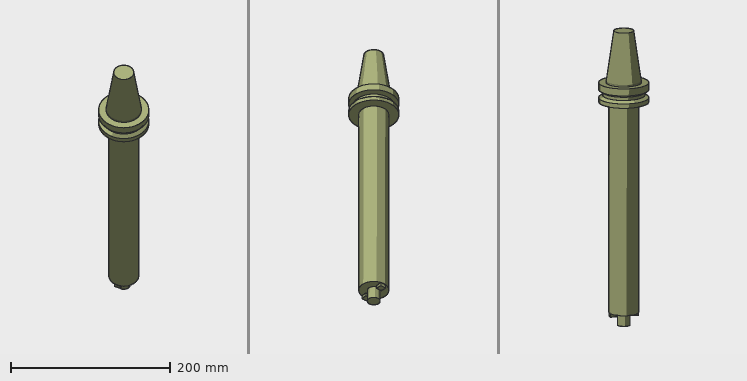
import cadquery as cq

total_length = 382.5
pilot_length = 17.0
taper_length = 65.5
neck_length = 2.0
flange_length = 25.2

pilot_diameter = 16.0
shaft_diameter = 38.0
flange_diameter = 63.0
groove_diameter = 53.0
taper_large_diameter = 44.5
taper_ratio = 7 / 24
taper_small_diameter = taper_large_diameter - taper_length * taper_ratio

upper_rim_length = 9.0
lower_rim_length = 5.7
groove_wall_height = 3.0

key_width = 8.0
key_height = 4.5
key_inner_y = 10.5
key_outer_y = 18.5

taper_base_z = total_length - taper_length
flange_top_z = taper_base_z - neck_length
flange_bottom_z = flange_top_z - flange_length
groove_top_z = flange_top_z - upper_rim_length
groove_bottom_z = flange_bottom_z + lower_rim_length


def turned_body():
    """Revolve the pilot, shaft, grooved flange, neck and taper as one half profile."""
    pilot_radius = pilot_diameter / 2
    shaft_radius = shaft_diameter / 2
    flange_radius = flange_diameter / 2
    groove_radius = groove_diameter / 2
    neck_radius = taper_large_diameter / 2
    profile = [
        (0, 0),
        (pilot_radius, 0),
        (pilot_radius, pilot_length),
        (shaft_radius, pilot_length),
        (shaft_radius, flange_bottom_z),
        (flange_radius, flange_bottom_z),
        (flange_radius, groove_bottom_z),
        (groove_radius, groove_bottom_z + groove_wall_height),
        (groove_radius, groove_top_z - groove_wall_height),
        (flange_radius, groove_top_z),
        (flange_radius, flange_top_z),
        (neck_radius, flange_top_z),
        (neck_radius, taper_base_z),
        (taper_small_diameter / 2, total_length),
        (0, total_length),
    ]
    return cq.Workplane("XZ").polyline(profile).close().revolve(360, (0, 0), (0, 1))


def drive_keys():
    """Two opposite rectangular keys on the Y axis, just inside the shaft surface."""
    key_depth = key_outer_y - key_inner_y
    key_center_y = (key_inner_y + key_outer_y) / 2
    return (
        cq.Workplane("XY", origin=(0, 0, pilot_length - key_height))
        .pushPoints([(0, key_center_y), (0, -key_center_y)])
        .rect(key_width, key_depth)
        .extrude(key_height)
    )


result = turned_body().union(drive_keys())